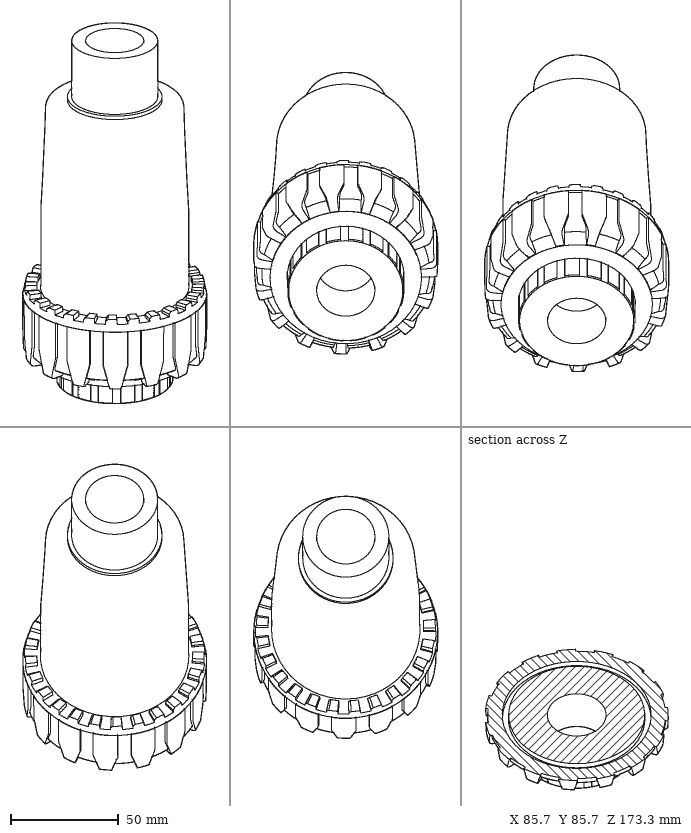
import cadquery as cq
import math

total_height = 173.3
bore_radius = 27.0 / 2
tube_radius = 40.0 / 2
collar_radius = 44.0 / 2
collar_top_z = 144.7
shoulder_top_z = 143.0
shoulder_radius = 32.0
shoulder_fillet = 4.0
barrel_radius = 68.8 / 2
barrel_top_z = 87.2

nut_radius = 85.6 / 2
nut_bottom_z = 12.7
nut_hole_radius = 54.5 / 2
nut_bore_radius = 69.0 / 2
lip_top_z = 19.0
crown_bottom_z = 43.8
crown_floor_z = 47.5
crown_top_z = 49.7
crown_bottom_radius = 42.6
crown_top_radius = 41.6

core_radius = 41.5
core_edge_z = 20.5
core_edge_drop = 2.8
core_edge_inset = 2.5
neck_radius = 35.7
neck_z = 15.6
waist_radius = 34.7
waist_z = 14.4
rim_radius = 70.4 / 2

pad_count = 15
pad_angle = -93.0
pad_half_width = 7.7
pad_tip_half_width = 3.3
pad_bottom_z = 13.9
pad_taper_z = 26.5
pad_tip_radius = 42.5
pad_tip_fillet = 2.6
pad_inner_radius = 34.3

tooth_count = 25
tooth_angle = -90.0
tooth_inner_radius = 36.2
tooth_base_start = 0.2
tooth_base_end = 7.8
tooth_top_start = 1.7
tooth_top_end = 7.4
tooth_chamfer_z = 48.7

connector_radius = 54.0 / 2
flange_radius = 63.5 / 2
flange_height = 5.2
flange_top_z = lip_top_z + flange_height
end_chamfer = 0.5
spline_count = 16
first_spline_angle = 4.0
spline_width = 14.5
spline_depth = 0.5

wedge_reach = 52.0

slant = math.sqrt(0.5)


def revolved(profile):
    """Turn an XZ outline, drawn on its +X side, about the Z axis."""
    return profile.close().revolve(360, (0, 0, 0), (0, 1, 0))


def cylinder(radius, bottom_z, top_z):
    return cq.Workplane("XY").workplane(offset=bottom_z).circle(radius).extrude(top_z - bottom_z)


def sector(start_angle, end_angle):
    """Corner points of a triangular sector with its apex on the Z axis."""
    points = [(0, 0)]
    for angle in (start_angle, end_angle):
        turn = math.radians(angle)
        points.append((wedge_reach * math.cos(turn), wedge_reach * math.sin(turn)))
    return points


def wedge(bottom_z, bottom_angles, top_z, top_angles):
    """Wedge about the Z axis whose flanks run from one pair of angles to another."""
    return (
        cq.Workplane("XY").workplane(offset=bottom_z)
        .polyline(sector(*bottom_angles)).close()
        .workplane(offset=top_z - bottom_z)
        .polyline(sector(*top_angles)).close()
        .loft(ruled=True)
    )


def build_housing():
    outline = (
        cq.Workplane("XZ")
        .moveTo(bore_radius, flange_top_z)
        .lineTo(barrel_radius, flange_top_z)
        .lineTo(barrel_radius, barrel_top_z)
        .lineTo(shoulder_radius, shoulder_top_z)
        .lineTo(collar_radius, shoulder_top_z)
        .lineTo(collar_radius, collar_top_z)
        .lineTo(tube_radius, collar_top_z)
        .lineTo(tube_radius, total_height)
        .lineTo(bore_radius, total_height)
    )
    solid = revolved(outline)
    shoulder_edge = solid.faces(">Z[-3]").edges(cq.selectors.RadiusNthSelector(-1))
    return shoulder_edge.fillet(shoulder_fillet)


def nut_core():
    edge_radius = core_radius - core_edge_inset
    edge_z = core_edge_z - core_edge_drop
    outline = (
        cq.Workplane("XZ")
        .moveTo(0, nut_bottom_z)
        .lineTo(rim_radius, nut_bottom_z)
        .threePointArc((waist_radius, waist_z), (neck_radius, neck_z))
        .lineTo(edge_radius, edge_z)
        .threePointArc((edge_radius + slant * core_edge_inset, core_edge_z - slant * core_edge_drop),
                       (core_radius, core_edge_z))
        .lineTo(core_radius, crown_bottom_z)
        .lineTo(crown_bottom_radius, crown_bottom_z)
        .lineTo(crown_top_radius, crown_top_z)
        .lineTo(0, crown_top_z)
    )
    return revolved(outline)


def grip_pads():
    pad_middle_z = (pad_bottom_z + crown_bottom_z) / 2
    outline = (
        cq.Workplane("XZ")
        .moveTo(pad_inner_radius, pad_bottom_z)
        .lineTo(pad_tip_radius - pad_tip_fillet, pad_bottom_z)
        .threePointArc((pad_tip_radius - (1 - slant) * pad_tip_fillet,
                        pad_bottom_z + (1 - slant) * pad_tip_fillet),
                       (pad_tip_radius, pad_bottom_z + pad_tip_fillet))
        .threePointArc((nut_radius, pad_middle_z), (nut_radius, crown_bottom_z))
        .lineTo(pad_inner_radius, crown_bottom_z)
    )
    wide = (-pad_half_width, pad_half_width)
    narrow = (-pad_tip_half_width, pad_tip_half_width)
    cutter = wedge(pad_bottom_z, narrow, pad_taper_z, wide)
    cutter = cutter.union(wedge(pad_taper_z, wide, crown_bottom_z, wide))
    pad = revolved(outline).intersect(cutter)
    pitch = 360 / pad_count
    return [pad.rotate((0, 0, 0), (0, 0, 1), pad_angle + i * pitch) for i in range(pad_count)]


def tooth_gaps():
    """Gaps between the crown teeth, together with the ledge inside the teeth."""
    ring = cylinder(wedge_reach, crown_floor_z, crown_top_z)
    tooth = wedge(crown_floor_z, (tooth_base_start, tooth_base_end),
                  crown_top_z, (tooth_base_start, tooth_top_end))
    before_tooth = tooth_base_start - tooth_top_start
    tooth = tooth.cut(wedge(tooth_chamfer_z, (before_tooth, tooth_base_start),
                            crown_top_z, (before_tooth, tooth_top_start)))
    tooth = tooth.cut(cylinder(tooth_inner_radius, crown_floor_z, crown_top_z))
    pitch = 360 / tooth_count
    for i in range(tooth_count):
        ring = ring.cut(tooth.rotate((0, 0, 0), (0, 0, 1), tooth_angle + i * pitch))
    return ring


def build_nut():
    nut = nut_core()
    for pad in grip_pads():
        nut = nut.union(pad)
    nut = nut.cut(tooth_gaps())
    nut = nut.cut(cylinder(nut_hole_radius, nut_bottom_z, lip_top_z))
    return nut.cut(cylinder(nut_bore_radius, lip_top_z, crown_top_z))


def build_connector():
    body = cylinder(connector_radius, 0, lip_top_z).faces("<Z").edges().chamfer(end_chamfer)
    pitch = 360 / spline_count
    groove_angles = (first_spline_angle - pitch + spline_width, first_spline_angle)
    groove = wedge(0, groove_angles, lip_top_z, groove_angles)
    groove = groove.cut(cylinder(connector_radius - spline_depth, 0, lip_top_z))
    for i in range(spline_count):
        body = body.cut(groove.rotate((0, 0, 0), (0, 0, 1), i * pitch))
    body = body.union(cylinder(flange_radius, lip_top_z, flange_top_z))
    return body.cut(cylinder(bore_radius, 0, flange_top_z))


housing = build_housing()
nut = build_nut()
connector = build_connector()
result = cq.Compound.makeCompound([body.solids().val() for body in (housing, nut, connector)])